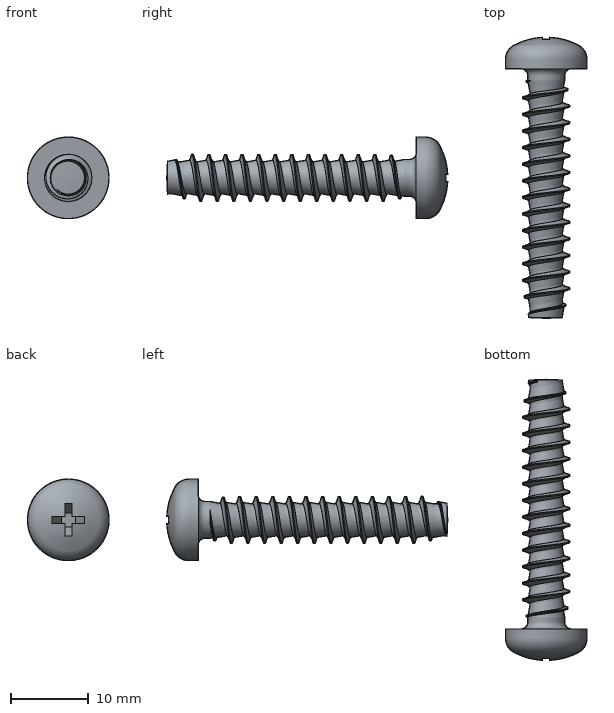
import cadquery as cq
import math

total_length = 36.13

head_diameter = 10.5
head_radius = head_diameter / 2
head_height = 4.1
head_rim_height = 1.2
head_shoulder_radius = 2.1

shoulder_x = head_radius - head_shoulder_radius
shoulder_rise = head_height - head_rim_height
crown_radius = (shoulder_x**2 + shoulder_rise**2 - head_shoulder_radius**2) / (
    2 * (shoulder_rise - head_shoulder_radius)
)

recess_slot_width = 0.9
recess_top_radius = 2.25
recess_floor_radius = 0.9
recess_depth = 2.35

apex_loss = crown_radius - math.sqrt(crown_radius**2 - 2 * (recess_slot_width / 2) ** 2)

neck_radius = 2.4
neck_fillet = 0.85
neck_end = 1.5
core_start = 3.07
core_radius = 2.1
tip_cone_height = 0.09
shank_length = total_length - (head_height - apex_loss)
tip_edge_depth = shank_length - tip_cone_height

pitch = 2.13
thread_depth_at_zero = 1.6
start_turn = -0.25
lead_in_end_turn = 1.0
runout_start_turn = 12.75
end_turn = 14.2
lead_in_sink = 0.45
runout_sink = 0.98
steps_per_stretch = 16

buried_radius = 2.02
thread_radius = 3.05
flare_radius = 2.6
crest_half_width = 0.07
flare_half_width = 0.18
foot_half_width = 0.5
ridge_section = [
    (-foot_half_width, buried_radius),
    (-flare_half_width, flare_radius),
    (-crest_half_width, thread_radius),
    (crest_half_width, thread_radius),
    (flare_half_width, flare_radius),
    (foot_half_width, buried_radius),
]

swell_radius = 2.3
swell_end_radius = 2.05
swell_start = 0.15
swell_end = 1.6
swell_section = [
    (swell_start, buried_radius),
    (swell_start, swell_radius),
    (swell_end, swell_end_radius),
]


def make_body():
    """Head, neck and core turned as one profile about the Y axis."""
    crown_y = head_height - crown_radius
    join_angle = math.atan2(head_rim_height - crown_y, shoulder_x)

    def crown_point(angle):
        return (crown_radius * math.cos(angle), crown_y + crown_radius * math.sin(angle))

    def shoulder_point(angle):
        return (
            shoulder_x + head_shoulder_radius * math.cos(angle),
            head_rim_height + head_shoulder_radius * math.sin(angle),
        )

    fillet_middle = neck_fillet * (1 - math.sqrt(0.5))
    return (
        cq.Workplane("XY")
        .moveTo(0, head_height)
        .threePointArc(crown_point((join_angle + math.pi / 2) / 2), crown_point(join_angle))
        .threePointArc(shoulder_point(join_angle / 2), (head_radius, head_rim_height))
        .lineTo(head_radius, 0)
        .lineTo(neck_radius + neck_fillet, 0)
        .threePointArc((neck_radius + fillet_middle, -fillet_middle), (neck_radius, -neck_fillet))
        .lineTo(neck_radius, -neck_end)
        .lineTo(core_radius, -core_start)
        .lineTo(core_radius, -tip_edge_depth)
        .lineTo(0, -shank_length)
        .close()
        .revolve(360, (0, 0, 0), (0, 1, 0))
    )


def ridge_sink(turn):
    """Distance by which the ridge is sunk towards the axis at a given turn."""
    lead_in = max(0.0, lead_in_end_turn - turn) / lead_in_end_turn
    runout = max(0.0, turn - runout_start_turn) / (end_turn - runout_start_turn)
    return lead_in * lead_in_sink + runout * runout_sink


def no_sink(turn):
    """The swell keeps its full height from end to end."""
    return 0.0


def make_helical_solid(section, sink):
    """Solid swept along the thread helix, bounded by ruled faces of up to about one turn each."""
    full_turns = range(math.ceil(lead_in_end_turn), math.ceil(runout_start_turn))
    turn_breaks = [start_turn, *full_turns, runout_start_turn, end_turn]

    def helix_point(turn, corner):
        offset, radius = corner
        angle = 2 * math.pi * turn
        sunk_radius = radius - sink(turn)
        depth = thread_depth_at_zero + pitch * turn + offset
        return cq.Vector(-sunk_radius * math.cos(angle), -depth, -sunk_radius * math.sin(angle))

    def helix_edge(turns, corner):
        return cq.Edge.makeSpline([helix_point(turn, corner) for turn in turns], parameters=turns)

    faces = []
    for first_turn, last_turn in zip(turn_breaks, turn_breaks[1:]):
        step = (last_turn - first_turn) / steps_per_stretch
        turns = [first_turn + step * i for i in range(steps_per_stretch + 1)]
        edges = [helix_edge(turns, corner) for corner in section]
        for edge, next_edge in zip(edges, edges[1:] + edges[:1]):
            faces.append(cq.Face.makeRuledSurface(edge, next_edge))
    for turn in (start_turn, end_turn):
        outline = [helix_point(turn, corner) for corner in section]
        faces.append(cq.Face.makeFromWires(cq.Wire.makePolygon(outline, close=True)))
    return cq.Workplane(obj=cq.Solid.makeSolid(cq.Shell.makeShell(faces)))


def make_thread_envelope():
    """Cylinder that limits the thread to the stretch between the neck and the tip."""
    return (
        cq.Workplane("XZ", origin=(0, -neck_end, 0))
        .circle(head_radius)
        .extrude(tip_edge_depth - neck_end)
    )


def make_recess():
    """Cross of two slots whose ends slope inwards to a flat floor."""
    floor_y = head_height - recess_depth
    slot = (
        cq.Workplane("XY")
        .polyline([
            (-recess_top_radius, head_height),
            (recess_top_radius, head_height),
            (recess_floor_radius, floor_y),
            (-recess_floor_radius, floor_y),
        ])
        .close()
        .extrude(recess_slot_width / 2, both=True)
    )
    return slot.union(slot.rotate((0, 0, 0), (0, 1, 0), 90))


ridge = make_helical_solid(ridge_section, ridge_sink).intersect(make_thread_envelope())
swell = make_helical_solid(swell_section, no_sink).intersect(make_thread_envelope())
result = make_body().union(swell).union(ridge).cut(make_recess())